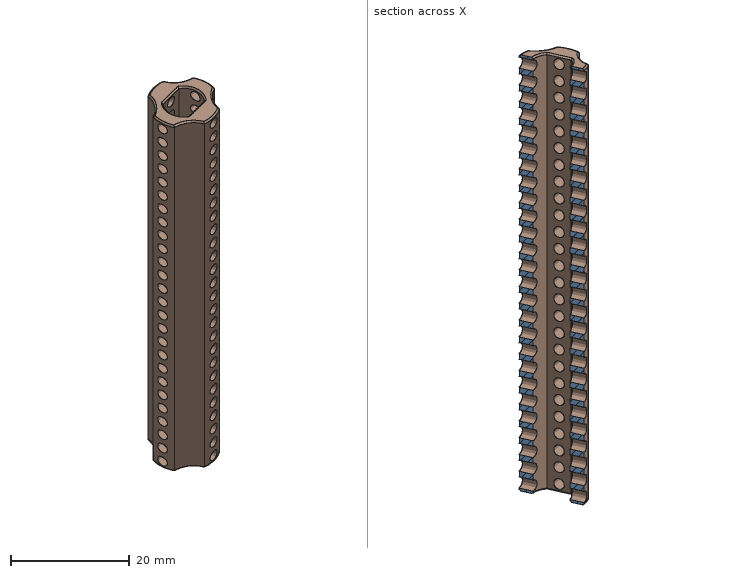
import cadquery as cq

hole_pitch = 3.125
hole_count = 26
hole_diameter = 2.0
outer_diameter = 12.5
flute_count = 4
flute_radius = 5.0
flute_center_distance = 10.0
first_flute_angle = 45.0
bore_diameter = 7.0
bore_flat_width = 5.25
end_chamfer = 0.3

length = hole_count * hole_pitch


def make_fluted_bar():
    """Round bar along Z with concave flutes between its four lands."""
    bar = cq.Workplane("XY").circle(outer_diameter / 2).extrude(length)
    flutes = (
        cq.Workplane("XY")
        .polarArray(flute_center_distance, first_flute_angle, 360, flute_count)
        .circle(flute_radius)
        .extrude(length)
    )
    return bar.cut(flutes)


def make_bore():
    """Full-length round bore, narrowed along X by two flats."""
    round_bore = cq.Workplane("XY").circle(bore_diameter / 2).extrude(length)
    flat_sides = cq.Workplane("XY").rect(bore_flat_width, bore_diameter).extrude(length)
    return round_bore.intersect(flat_sides)


def make_cross_holes(plane):
    """Row of evenly spaced holes straight through the bar, normal to the given plane."""
    return (
        cq.Workplane(plane)
        .center(0, length / 2)
        .rarray(hole_pitch, hole_pitch, 1, hole_count)
        .circle(hole_diameter / 2)
        .extrude(outer_diameter, both=True)
    )


tube = make_fluted_bar().cut(make_bore())

result = tube.faces("<Z or >Z").chamfer(end_chamfer)

for hole_plane in ("XZ", "YZ"):
    result = result.cut(make_cross_holes(hole_plane))